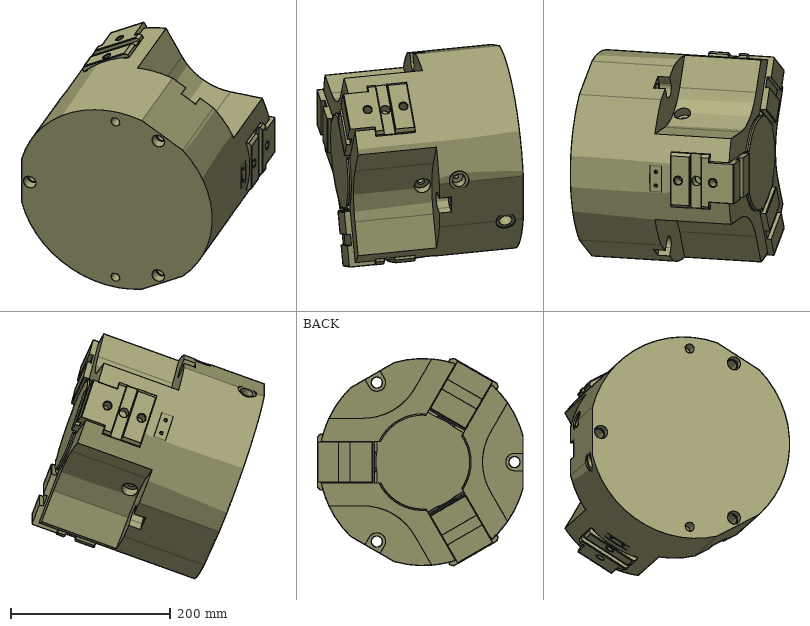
import cadquery as cq
import math


JAW_ANGLES = (0, 120, 240)
LUG_ANGLES = (60, 180, 300)
DOWEL_ANGLES = (90, 270)
LABEL_ANGLES = (0, 240)
PORT_SIDE = 180

OVERALL_HEIGHT = 260.5

HOUSING_RADIUS = 130.0
HOUSING_DEPTH = 207.4
LUG_FLAT_RADIUS = 126.0
LUG_DEPTH = 107.3
OVERSIZE = 156.3

CUTOUT_RADIUS = 75.0
CUTOUT_CENTER = 150.0
CUTOUT_WALL_ANGLE = 30

BOLT_CIRCLE = 115.1
SCREW_DIAMETER = 13.5
SLEEVE_DIAMETER = 16.7
SLEEVE_DEPTH = 13.0
SCREW_HEAD_DIAMETER = 22.0
SCREW_HEAD_DEPTH = 15.4
DOWEL_DIAMETER = 11.5
DOWEL_DEPTH = 20.8
DRILL_TIP_ANGLE = 118

SIDE_PORT_PLACES = ((81.8, 15), (22.5, -15))
SIDE_PORT_FACE_RADIUS = 128.0
SIDE_PORT_FACE_DIAMETER = 24.5
SIDE_PORT_DIAMETER = 16.7
SIDE_PORT_DEPTH = 18.8
SIDE_PORT_DUCT_DIAMETER = 6.3
SIDE_PORT_DUCT_DEPTH = 28.7
PURGE_PORT_Y = 119.3
PURGE_PORT_FLOOR = 64.0
PURGE_PORT_DIAMETER = 20.3
PURGE_DUCT_DIAMETER = 6.8
PURGE_DUCT_CHAMFER = 1.5
PURGE_DUCT_DEPTH = 20.8

LABEL_FLAT_RADIUS = 129.0
LABEL_START = 104.2
LABEL_HEIGHT = 15.4
RIVET_SPACING = 17.7
RIVET_DIAMETER = 4.2
RIVET_DEPTH = 5.2

CAP_RADIUS = 60.7
CAP_HEIGHT = 4.0
CAP_RIM_CHAMFER = 1.8
CAP_ARM_CHAMFER = 3.0

JAW_INNER = 62.5
JAW_OUTER = 132.3
JAW_BACK = 215.0
JAW_BAR_START = 182.0
JAW_WIDTH = 50.5
JAW_LEG_INNER = 104.2
JAW_CHAMFER = 1.0
SLOT_WIDTH = 52.0
FLANGE_START = 132.0
FLANGE_INNER = 125.0
FLANGE_WIDTH = 70.0
FLANGE_SHOULDER = 128.7
KEYWAY_WIDTH = 14.0
KEYWAY_DEPTH = 5.2
BACK_KEYWAY_RADIUS = 98.5
SIDE_KEYWAY_Y = 164.6
JAW_SCREW_YS = (142.0, 187.5)
JAW_SCREW_DIAMETER = 10.0
JAW_SCREW_CHAMFER = 0.8
JAW_SCREW_DEPTH = 20.8
JAW_PIN_DIAMETER = 12.0
JAW_PIN_DEPTH = 14.3

JAW_TURN = math.radians(JAW_ANGLES[1])
FLANGE_FACE_WIDTH = (OVERALL_HEIGHT - 2 * JAW_OUTER * math.sin(JAW_TURN)) / abs(math.cos(JAW_TURN))


def turned(shape, angle):
    """Turn a shape about the Y axis, from +X towards +Z."""
    return shape.rotate((0, 0, 0), (0, 1, 0), -angle)


def turned_copies(shape, angles):
    """All the turned copies of a shape, as one tool."""
    tool = turned(shape, angles[0])
    for angle in angles[1:]:
        tool = tool.union(turned(shape, angle))
    return tool


def block(radius_range, y_range, width):
    """A block on the +X side, centred on Z = 0."""
    r0, r1 = radius_range
    y0, y1 = y_range
    return cq.Workplane("XY").box(r1 - r0, y1 - y0, width).translate(((r0 + r1) / 2, (y0 + y1) / 2, 0))


def axial_cylinder(diameter, y_range):
    """A cylinder parallel to Y, on the bolt circle of the +X side."""
    y0, y1 = y_range
    circle = cq.Workplane("XZ", origin=(0, y0, 0)).center(BOLT_CIRCLE, 0).circle(diameter / 2)
    return circle.extrude(-(y1 - y0))


def radial_cylinder(diameter, y, radius_range):
    """A cylinder along X, between two distances from the axis."""
    r0, r1 = radius_range
    return cq.Workplane("YZ", origin=(r0, y, 0)).circle(diameter / 2).extrude(r1 - r0)


def radial_hole(diameter, y, surface, depth):
    """A flat-bottomed hole drilled towards the axis from a given distance."""
    return radial_cylinder(diameter, y, (surface - depth, surface))


def chamfered_radial_hole(diameter, chamfer, y, surface, depth):
    mouth = cq.Solid.makeCone(
        diameter / 2 + chamfer, diameter / 2, chamfer,
        pnt=cq.Vector(surface, y, 0), dir=cq.Vector(-1, 0, 0),
    )
    return radial_hole(diameter, y, surface, depth).union(cq.Workplane(mouth))




def lug_flat():
    return block((LUG_FLAT_RADIUS, OVERSIZE), (0, HOUSING_DEPTH), OVERSIZE)


def cutout():
    """Round valley whose straight walls leave the arc as tangents."""
    slope = math.radians(CUTOUT_WALL_ANGLE)
    valley = CUTOUT_CENTER - CUTOUT_RADIUS
    arc_end_x = CUTOUT_CENTER - CUTOUT_RADIUS * math.cos(slope)
    arc_end_z = CUTOUT_RADIUS * math.sin(slope)
    wall_end_z = arc_end_z + (OVERSIZE - arc_end_x) / math.tan(slope)
    profile = (
        cq.Workplane("XZ", origin=(0, LUG_DEPTH, 0))
        .moveTo(OVERSIZE, -wall_end_z)
        .lineTo(arc_end_x, -arc_end_z)
        .threePointArc((valley, 0), (arc_end_x, arc_end_z))
        .lineTo(OVERSIZE, wall_end_z)
        .close()
    )
    return profile.extrude(-(HOUSING_DEPTH - LUG_DEPTH))


def mounting_hole():
    """Through hole with a wider sleeve seat in front; its head seat is open to the outside of the lug."""
    seat = (LUG_DEPTH - SCREW_HEAD_DEPTH, LUG_DEPTH)
    return (
        axial_cylinder(SCREW_DIAMETER, (0, LUG_DEPTH))
        .union(axial_cylinder(SLEEVE_DIAMETER, (0, SLEEVE_DEPTH)))
        .union(axial_cylinder(SCREW_HEAD_DIAMETER, seat))
        .union(block((BOLT_CIRCLE, OVERSIZE), seat, SCREW_HEAD_DIAMETER))
    )


def dowel_hole():
    """Blind hole with a drill tip."""
    tip_length = DOWEL_DIAMETER / 2 / math.tan(math.radians(DRILL_TIP_ANGLE / 2))
    tip = cq.Solid.makeCone(
        DOWEL_DIAMETER / 2, 0, tip_length,
        pnt=cq.Vector(BOLT_CIRCLE, DOWEL_DEPTH, 0), dir=cq.Vector(0, 1, 0),
    )
    return axial_cylinder(DOWEL_DIAMETER, (0, DOWEL_DEPTH)).union(cq.Workplane(tip))


def side_port(y):
    """Spot-faced port whose bore narrows to a duct."""
    face = SIDE_PORT_FACE_RADIUS
    return (
        radial_cylinder(SIDE_PORT_FACE_DIAMETER, y, (face, OVERSIZE))
        .union(radial_hole(SIDE_PORT_DIAMETER, y, face, SIDE_PORT_DEPTH))
        .union(radial_hole(SIDE_PORT_DUCT_DIAMETER, y, face, SIDE_PORT_DUCT_DEPTH))
    )


def purge_port():
    """Counterbored port in the bottom of a cutout."""
    counterbore = radial_cylinder(PURGE_PORT_DIAMETER, PURGE_PORT_Y, (PURGE_PORT_FLOOR, CUTOUT_CENTER))
    duct = chamfered_radial_hole(
        PURGE_DUCT_DIAMETER, PURGE_DUCT_CHAMFER, PURGE_PORT_Y, PURGE_PORT_FLOOR, PURGE_DUCT_DEPTH
    )
    return counterbore.union(duct)


def label_flat():
    label = block((LABEL_FLAT_RADIUS, OVERSIZE), (LABEL_START, LABEL_START + LABEL_HEIGHT), OVERSIZE)
    rivet = radial_hole(RIVET_DIAMETER, LABEL_START + LABEL_HEIGHT / 2, LABEL_FLAT_RADIUS, RIVET_DEPTH)
    for side in (-1, 1):
        label = label.union(rivet.translate((0, 0, side * RIVET_SPACING / 2)))
    return label


def jaw_slot():
    """L-shaped slot for the bar and leg of a jaw, and the recess under its flange."""
    return (
        block((JAW_INNER, OVERSIZE), (JAW_BAR_START, JAW_BACK), SLOT_WIDTH)
        .union(block((JAW_LEG_INNER, OVERSIZE), (FLANGE_START, JAW_BACK), SLOT_WIDTH))
        .union(block((FLANGE_INNER, OVERSIZE), (FLANGE_START, JAW_BAR_START), FLANGE_WIDTH))
    )


def cap():
    """Low round cap with an arm towards each jaw, all with a bevelled rim."""
    base = HOUSING_DEPTH
    disc = cq.Workplane("XZ", origin=(0, base, 0)).circle(CAP_RADIUS).extrude(-CAP_HEIGHT)
    arm = block((0, CAP_RADIUS), (base, base + CAP_HEIGHT), SLOT_WIDTH)
    arm = arm.faces(">X").edges(">Y").chamfer(CAP_ARM_CHAMFER)
    return disc.faces(">Y").chamfer(CAP_RIM_CHAMFER).union(turned_copies(arm, JAW_ANGLES))


def make_housing():
    body = cq.Workplane("XZ").circle(HOUSING_RADIUS).extrude(-HOUSING_DEPTH)
    body = body.cut(turned_copies(lug_flat(), LUG_ANGLES))
    body = body.cut(turned_copies(cutout(), LUG_ANGLES))
    body = body.cut(turned_copies(jaw_slot(), JAW_ANGLES))
    body = body.cut(turned_copies(mounting_hole(), LUG_ANGLES))
    body = body.cut(turned_copies(dowel_hole(), DOWEL_ANGLES))
    body = body.cut(turned_copies(purge_port(), LUG_ANGLES))
    body = body.cut(turned_copies(label_flat(), LABEL_ANGLES))
    for y, offset in SIDE_PORT_PLACES:
        body = body.cut(turned(side_port(y), PORT_SIDE - offset))
    return body.union(cap())




def jaw_flange():
    """Wide outer plate with bevelled long edges."""
    half_face = FLANGE_FACE_WIDTH / 2
    half_width = FLANGE_WIDTH / 2
    outline = [
        (FLANGE_INNER, -half_width),
        (FLANGE_SHOULDER, -half_width),
        (JAW_OUTER, -half_face),
        (JAW_OUTER, half_face),
        (FLANGE_SHOULDER, half_width),
        (FLANGE_INNER, half_width),
    ]
    plate = cq.Workplane("XZ", origin=(0, FLANGE_START, 0)).polyline(outline).close()
    plate = plate.extrude(-(JAW_BAR_START - FLANGE_START))
    return plate.faces(">X").edges("<Y").chamfer(JAW_CHAMFER)


def back_keyway():
    half = KEYWAY_WIDTH / 2
    return block(
        (BACK_KEYWAY_RADIUS - half, BACK_KEYWAY_RADIUS + half),
        (JAW_BACK - KEYWAY_DEPTH, JAW_BACK),
        JAW_WIDTH,
    )


def side_keyway():
    """Keyway across the flange, flared at its mouth."""
    half = KEYWAY_WIDTH / 2
    floor = JAW_OUTER - KEYWAY_DEPTH
    flare_start = JAW_OUTER - JAW_CHAMFER
    outline = [
        (floor, -half),
        (flare_start, -half),
        (JAW_OUTER, -half - JAW_CHAMFER),
        (JAW_OUTER, half + JAW_CHAMFER),
        (flare_start, half),
        (floor, half),
    ]
    profile = cq.Workplane("XY").center(0, SIDE_KEYWAY_Y).polyline(outline).close()
    return profile.extrude(FLANGE_WIDTH / 2, both=True)


def make_jaw():
    bar = block((JAW_INNER, JAW_OUTER), (JAW_BAR_START, JAW_BACK), JAW_WIDTH)
    bar = bar.faces(">Y").edges("<X or >X").chamfer(JAW_CHAMFER)
    leg = block((JAW_LEG_INNER, FLANGE_INNER), (FLANGE_START, JAW_BAR_START), JAW_WIDTH)
    jaw = bar.union(leg).union(jaw_flange()).cut(back_keyway()).cut(side_keyway())
    for y in JAW_SCREW_YS:
        screw_hole = chamfered_radial_hole(
            JAW_SCREW_DIAMETER, JAW_SCREW_CHAMFER, y, JAW_OUTER, JAW_SCREW_DEPTH
        )
        jaw = jaw.cut(screw_hole)
    return jaw.cut(radial_hole(JAW_PIN_DIAMETER, SIDE_KEYWAY_Y, JAW_OUTER - KEYWAY_DEPTH, JAW_PIN_DEPTH))


housing = make_housing()
jaw = make_jaw()
jaws = [turned(jaw, angle) for angle in JAW_ANGLES]

result = cq.Compound.makeCompound([housing.val(), *[each.val() for each in jaws]])